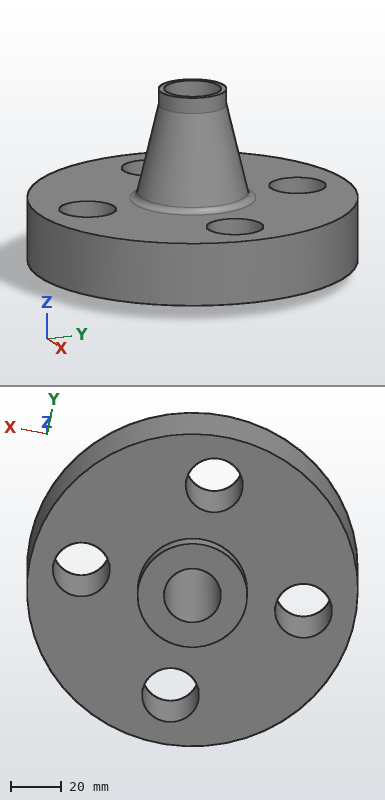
import cadquery as cq

flange_diameter = 130.0
flange_thickness = 25.5

face_diameter = 43.0
face_height = 6.2

hub_height = 44.5
hub_base_diameter = 44.7
hub_fillet_radius = 3.0
pipe_end_diameter = 26.7
pipe_end_length = 6.2

bore_diameter = 22.4
bolt_hole_diameter = 22.4
bolt_circle_diameter = 88.9
bolt_count = 4

hub_top = flange_thickness + hub_height
taper_top = hub_top - pipe_end_length
total_height = face_height + hub_top


def make_flange_and_hub():
    """Revolve the disc, tapered hub and straight pipe end about Z, then round the hub root."""
    profile = (
        cq.Workplane("XZ")
        .lineTo(flange_diameter / 2, 0)
        .lineTo(flange_diameter / 2, flange_thickness)
        .lineTo(hub_base_diameter / 2, flange_thickness)
        .lineTo(pipe_end_diameter / 2, taper_top)
        .lineTo(pipe_end_diameter / 2, hub_top)
        .lineTo(0, hub_top)
        .close()
    )
    body = profile.revolve(360, (0, 0, 0), (0, 1, 0))
    hub_root = cq.selectors.RadiusNthSelector(1)
    return body.edges("%CIRCLE").edges(hub_root).fillet(hub_fillet_radius)


def make_raised_face():
    return cq.Workplane("XY").circle(face_diameter / 2).extrude(-face_height)


def make_bore():
    return (
        cq.Workplane("XY", origin=(0, 0, -face_height))
        .circle(bore_diameter / 2)
        .extrude(total_height)
    )


def make_bolt_holes():
    return (
        cq.Workplane("XY")
        .polarArray(bolt_circle_diameter / 2, 0, 360, bolt_count)
        .circle(bolt_hole_diameter / 2)
        .extrude(flange_thickness)
    )


result = make_flange_and_hub().union(make_raised_face()).cut(make_bore()).cut(make_bolt_holes())